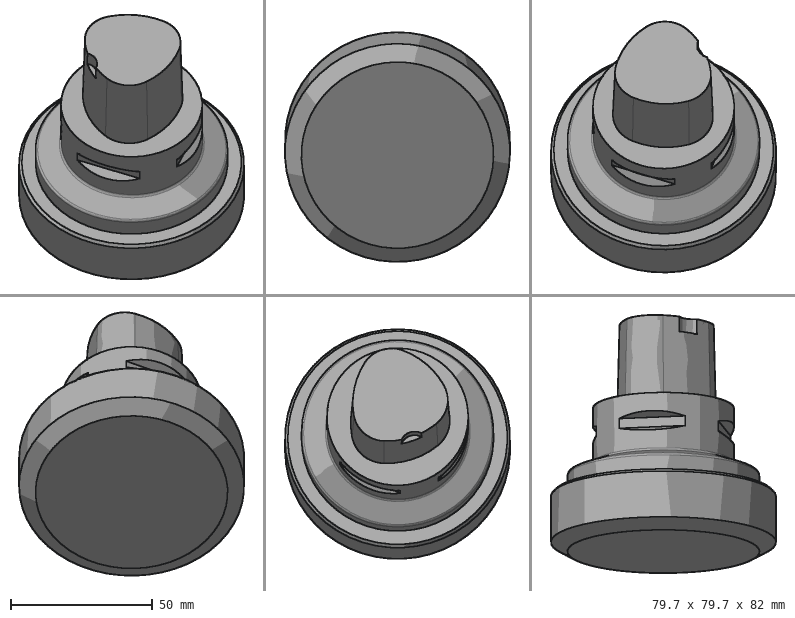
import math

import cadquery as cq

TOTAL_HEIGHT = 82.0
SHANK_LENGTH = 30.0
SEAT_Z = TOTAL_HEIGHT - SHANK_LENGTH

BASE_RADIUS = 79.7 / 2
BASE_TOP_Z = 21.0
BASE_TOP_CHAMFER = 1.0
STEP_RADIUS = 68.0 / 2
BASE_BOTTOM_RADIUS = STEP_RADIUS
BOTTOM_CHAMFER_ANGLE = 30.0

STEP_TOP_Z = 28.0
CONE_ANGLE = 20.0
CONE_BLEND_RADIUS = 1.0
SELECTION_MARGIN = 0.1
COLLAR_RADIUS = 50.0 / 2

GROOVE_COUNT = 4
GROOVE_FIRST_ANGLE = 45.0
GROOVE_Z = SEAT_Z - 10.0
GROOVE_FLOOR_DISTANCE = 22.0
GROOVE_FLOOR_HEIGHT = 3.5
GROOVE_FLANK_ANGLE = 30.0
GROOVE_CUTTER_OVERHANG = 1.0

SHANK_MEAN_RADIUS = 35.0 / 2
LOBE_OFFSET = 1.15
SIDE_ARC_CENTER_OFFSET = 12.0
TAPER_PER_SIDE = 1.0 / 40
LOBE_COUNT = 3
FIRST_LOBE_ANGLE = 90.0

NOTCH_RADIUS = 5.0
NOTCH_BOTTOM_Y = -13.75
NOTCH_DEPTH = 5.5


def tangent(angle):
    return math.tan(math.radians(angle))


def polar(radius, angle):
    theta = math.radians(angle)
    return cq.Vector(radius * math.cos(theta), radius * math.sin(theta), 0)


def make_body():
    """Revolved flange, step, cone and collar."""
    bottom_chamfer_height = (BASE_RADIUS - BASE_BOTTOM_RADIUS) * tangent(BOTTOM_CHAMFER_ANGLE)
    cone_top_z = STEP_TOP_Z + (STEP_RADIUS - COLLAR_RADIUS) * tangent(CONE_ANGLE)
    outline = [
        (0, 0),
        (BASE_BOTTOM_RADIUS, 0),
        (BASE_RADIUS, bottom_chamfer_height),
        (BASE_RADIUS, BASE_TOP_Z - BASE_TOP_CHAMFER),
        (BASE_RADIUS - BASE_TOP_CHAMFER, BASE_TOP_Z),
        (STEP_RADIUS, BASE_TOP_Z),
        (STEP_RADIUS, STEP_TOP_Z),
        (COLLAR_RADIUS, cone_top_z),
        (COLLAR_RADIUS, SEAT_Z),
        (0, SEAT_Z),
    ]
    body = cq.Workplane("XZ").polyline(outline).close().revolve(360, (0, 0), (0, 1))

    def cone_rim(radius, z):
        margin = SELECTION_MARGIN
        low = (-radius - margin, -radius - margin, z - margin)
        high = (radius + margin, radius + margin, z + margin)
        return cq.selectors.BoxSelector(low, high, boundingbox=True)

    body = body.edges(cone_rim(STEP_RADIUS, STEP_TOP_Z)).fillet(CONE_BLEND_RADIUS)
    return body.edges(cone_rim(COLLAR_RADIUS, cone_top_z)).fillet(CONE_BLEND_RADIUS)


def cut_grooves(body):
    """Straight grooves with a flat floor and sloping flanks, spaced around the collar."""
    outer = COLLAR_RADIUS + GROOVE_CUTTER_OVERHANG
    floor_half = GROOVE_FLOOR_HEIGHT / 2
    mouth_half = floor_half + (outer - GROOVE_FLOOR_DISTANCE) * tangent(GROOVE_FLANK_ANGLE)
    section = [
        (GROOVE_FLOOR_DISTANCE, GROOVE_Z - floor_half),
        (outer, GROOVE_Z - mouth_half),
        (outer, GROOVE_Z + mouth_half),
        (GROOVE_FLOOR_DISTANCE, GROOVE_Z + floor_half),
    ]
    cutter = cq.Workplane("XZ").polyline(section).close().extrude(COLLAR_RADIUS, both=True)
    for index in range(GROOVE_COUNT):
        angle = GROOVE_FIRST_ANGLE + index * 360.0 / GROOVE_COUNT
        body = body.cut(cutter.rotate((0, 0, 0), (0, 0, 1), angle))
    return body


def lobed_wire(z, inset):
    """Three lobe arcs joined by three tangent side arcs, moved inward by the inset."""
    lobe_reach = SHANK_MEAN_RADIUS + LOBE_OFFSET
    side_reach = SHANK_MEAN_RADIUS - LOBE_OFFSET
    side_center = SIDE_ARC_CENTER_OFFSET
    shortfall = lobe_reach - side_reach
    lobe_center = shortfall * (2 * side_center - shortfall) / (side_center - 2 * shortfall)
    lobe_radius = lobe_reach - lobe_center - inset
    lobe_pitch = 360.0 / LOBE_COUNT
    lift = cq.Vector(0, 0, z)

    def junction(lobe_angle, side_angle):
        center = polar(lobe_center, lobe_angle)
        direction = (center - polar(side_center, side_angle + 180)).normalized()
        return center + direction * lobe_radius + lift

    edges = []
    for index in range(LOBE_COUNT):
        lobe_angle = FIRST_LOBE_ANGLE + index * lobe_pitch
        side_angle = lobe_angle + lobe_pitch / 2
        lobe_start = junction(lobe_angle, lobe_angle - lobe_pitch / 2)
        lobe_tip = polar(lobe_reach - inset, lobe_angle) + lift
        lobe_end = junction(lobe_angle, side_angle)
        side_middle = polar(side_reach - inset, side_angle) + lift
        side_end = junction(lobe_angle + lobe_pitch, side_angle)
        edges.append(cq.Edge.makeThreePointArc(lobe_start, lobe_tip, lobe_end))
        edges.append(cq.Edge.makeThreePointArc(lobe_end, side_middle, side_end))
    return cq.Wire.assembleEdges(edges)


def make_shank():
    """Lobed shank tapering from the seat face up to the top."""
    bottom = lobed_wire(SEAT_Z, 0)
    top = lobed_wire(TOTAL_HEIGHT, SHANK_LENGTH * TAPER_PER_SIDE)
    return cq.Workplane(cq.Solid.makeLoft([bottom, top], True))


def cut_notch(shank):
    """Round-backed notch open to the top and to the -Y side."""
    cutter = (
        cq.Workplane("XY", origin=(0, NOTCH_BOTTOM_Y - NOTCH_RADIUS, TOTAL_HEIGHT - NOTCH_DEPTH))
        .circle(NOTCH_RADIUS)
        .extrude(NOTCH_DEPTH)
    )
    return shank.cut(cutter)


collar_body = cut_grooves(make_body())
shank = cut_notch(make_shank())
result = collar_body.union(shank)